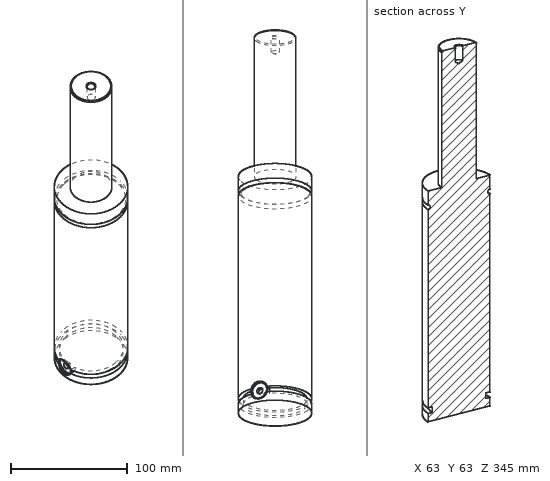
import cadquery as cq
import math

total_height = 345.0
body_diameter = 63.0
body_height = 217.0
rod_diameter = 36.0
rod_chamfer = 1.0

foot_height = 8.3
foot_groove_width = 5.0
foot_groove_depth = 4.0

head_height = 13.5
head_groove_width = 4.0

rod_hole_diameter = 7.0
rod_hole_depth = 13.8
rod_hole_chamfer = 0.7
rod_hole_tip_angle = 118

port_height = 10.7
port_diameter = 16.0
port_face_distance = 30.5
port_recess_diameter = 14.0
port_recess_depth = 1.0
port_hole_diameter = 5.5
port_hole_depth = 3.5

body_radius = body_diameter / 2
rod_radius = rod_diameter / 2


def make_body():
    """Revolve the grooved cylinder and its rod."""
    foot_floor = body_radius - foot_groove_depth
    head_floor = body_radius - head_groove_width / 2
    foot_groove_top = foot_height + foot_groove_width
    head_bottom = body_height - head_height
    profile = (
        cq.Workplane("XZ")
        .lineTo(body_radius, 0)
        .lineTo(body_radius, foot_height)
        .lineTo(foot_floor, foot_height)
        .lineTo(foot_floor, foot_groove_top)
        .lineTo(body_radius, foot_groove_top)
        .lineTo(body_radius, head_bottom - head_groove_width)
        .threePointArc((head_floor, head_bottom - head_groove_width / 2), (body_radius, head_bottom))
        .lineTo(body_radius, body_height)
        .lineTo(rod_radius, body_height)
        .lineTo(rod_radius, total_height - rod_chamfer)
        .lineTo(rod_radius - rod_chamfer, total_height)
        .lineTo(0, total_height)
        .close()
    )
    return profile.revolve(360, (0, 0, 0), (0, 1, 0))


def make_rod_hole():
    """Blind hole with a chamfered mouth and a conical bottom."""
    hole_radius = rod_hole_diameter / 2
    tip_depth = hole_radius / math.tan(math.radians(rod_hole_tip_angle / 2))
    return (
        cq.Workplane("XZ", origin=(0, 0, total_height))
        .lineTo(hole_radius + rod_hole_chamfer, 0)
        .lineTo(hole_radius, -rod_hole_chamfer)
        .lineTo(hole_radius, -rod_hole_depth)
        .lineTo(0, -rod_hole_depth - tip_depth)
        .close()
        .revolve(360, (0, 0, 0), (0, 1, 0))
    )


def port_cylinder(diameter, start, length):
    """Cylinder on the port axis, from distance start outward along -Y."""
    return (
        cq.Workplane("XZ", origin=(0, -start, port_height))
        .circle(diameter / 2)
        .extrude(length)
    )


def add_port(body):
    """Bridge the foot groove with a flat-faced collar, recessed inside and with a central hole."""
    recess_floor = port_face_distance - port_recess_depth
    collar = port_cylinder(port_diameter, 0, port_face_distance)
    spotface = port_cylinder(port_diameter, port_face_distance, body_radius)
    recess = port_cylinder(port_recess_diameter, recess_floor, body_radius)
    hole = port_cylinder(port_hole_diameter, recess_floor - port_hole_depth, body_radius)
    return body.union(collar).cut(spotface).cut(recess).cut(hole)


result = add_port(make_body().cut(make_rod_hole()))